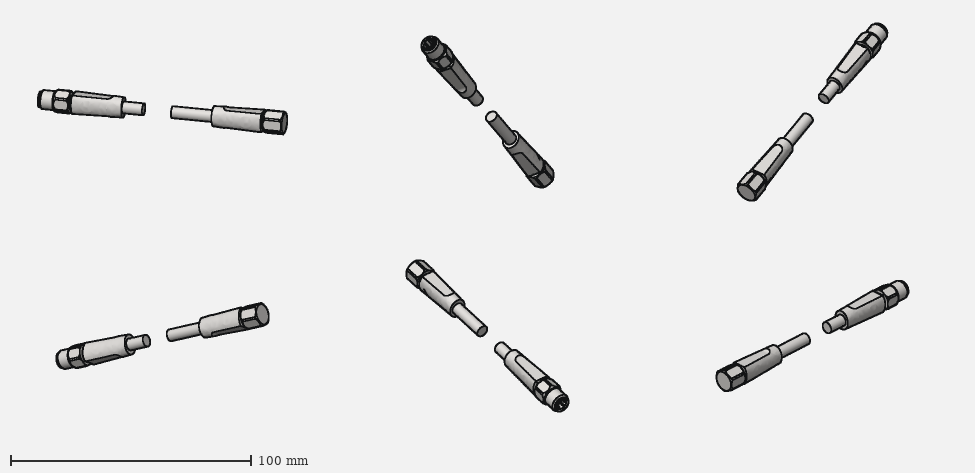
import cadquery as cq
import math

TOTAL_LENGTH = 106.0
MALE_CABLE_END = 44.9
FEMALE_CABLE_END = 57.5
CABLE_RADIUS = 2.5

HEX_ACROSS_FLATS = 9.0
HEX_CORNER_DIAMETER = 10.0
HEX_CORNER_RADIUS = HEX_CORNER_DIAMETER / 2
BEVEL_SLOPE = math.tan(math.radians(30))

MALE_NUT_START = 6.8
MALE_NUT_END = 13.4
MALE_NUT_FRONT_BEVEL = 1.2
MALE_NUT_REAR_BEVEL = 0.6

FEMALE_NUT_START = 97.8
FEMALE_NUT_REAR_BEVEL = 0.7
FEMALE_NUT_FRONT_BEVEL = 0.5
FEMALE_NUT_FRONT_RADIUS = 4.2

TIP_RADIUS = 3.4
TIP_LENGTH = 0.6
SLEEVE_RADIUS = 4.0
SLEEVE_BEVEL_END = 1.4
FLARE_START = 6.5
FLARE_RADIUS = 4.2
SOCKET_RADIUS = 2.6
SOCKET_DEPTH = 5.0
SOCKET_MOUTH_RADIUS = 3.2
KEY_WIDTH = 1.1
KEY_RECESS = 0.3
KEY_BOTTOM = 2.0
PIN_RADIUS = 0.3
PIN_RECESS = 0.5
PIN_CENTERS = [(-1.7, 0.6), (1.7, 0.6), (-1.2, -1.4), (1.2, -1.4)]

MALE_NECK_RADIUS = 2.9
FEMALE_NECK_RADIUS = 3.1

MALE_GRIP_START = 14.1
MALE_GRIP_END = 36.3
FEMALE_GRIP_START = 75.4
FEMALE_GRIP_END = 96.8
GRIP_CABLE_HALF_WIDTH = 3.7
GRIP_CABLE_HALF_HEIGHT = 4.3
GRIP_WIDTH_SLOPE = 0.031
GRIP_HEIGHT_SLOPE = 0.052
GRIP_CHAMFER_LENGTH = 0.6
GRIP_CHAMFER_DEPTH = 0.8
FLAT_START = 6.6
FLAT_START_HEIGHT = 3.8
FLAT_SLOPE = 0.017
RAMP_START = 4.5
RAMP_START_HEIGHT = GRIP_CABLE_HALF_HEIGHT + GRIP_HEIGHT_SLOPE * RAMP_START
RAMP_RADIUS = 3.2


def cylinder_x(radius, start, end):
    """Solid cylinder on the X axis."""
    return cq.Workplane("YZ").workplane(offset=start).circle(radius).extrude(end - start)


def revolve_x(profile):
    """Solid of revolution about X from (x, radius) points; the axis closes the outline."""
    points = [(profile[0][0], 0), *profile, (profile[-1][0], 0)]
    return cq.Workplane("XY").polyline(points).close().revolve(360, (0, 0, 0), (1, 0, 0))


def hex_nut(start, end, start_bevel, end_bevel, start_radius, end_radius):
    """Hexagonal bar with corners up and down, trimmed by a bevelled round envelope."""
    circumscribed = HEX_ACROSS_FLATS / math.cos(math.radians(30))
    hexagon = (
        cq.Workplane("YZ").workplane(offset=start)
        .transformed(rotate=(0, 0, 90))
        .polygon(6, circumscribed).extrude(end - start)
    )
    envelope = revolve_x([
        (start, start_radius),
        (start + start_bevel, HEX_CORNER_RADIUS),
        (end - end_bevel, HEX_CORNER_RADIUS),
        (end, end_radius),
    ])
    return hexagon.intersect(envelope)


def bevel_radius(length):
    """End radius of a 30 degree corner bevel of the given length."""
    return HEX_CORNER_RADIUS - length * BEVEL_SLOPE


def grip(length):
    """Grip with its cable end at X = 0, widening toward +X, with a flat above and below."""
    body = (
        cq.Workplane("YZ")
        .ellipse(GRIP_CABLE_HALF_WIDTH, GRIP_CABLE_HALF_HEIGHT)
        .workplane(offset=length)
        .ellipse(
            GRIP_CABLE_HALF_WIDTH + GRIP_WIDTH_SLOPE * length,
            GRIP_CABLE_HALF_HEIGHT + GRIP_HEIGHT_SLOPE * length,
        )
        .loft(ruled=True)
    )
    flat_end_height = FLAT_START_HEIGHT + FLAT_SLOPE * (length - FLAT_START)
    clear_height = GRIP_CABLE_HALF_HEIGHT + 2 * GRIP_HEIGHT_SLOPE * length
    clear_width = 2 * (GRIP_CABLE_HALF_WIDTH + GRIP_WIDTH_SLOPE * length)
    flat_cut = (
        cq.Workplane("XZ")
        .moveTo(RAMP_START, clear_height)
        .lineTo(RAMP_START, RAMP_START_HEIGHT)
        .radiusArc((FLAT_START, FLAT_START_HEIGHT), -RAMP_RADIUS)
        .lineTo(length, flat_end_height)
        .lineTo(length, clear_height)
        .close().extrude(clear_width, both=True)
    )
    return body.cut(flat_cut).cut(flat_cut.mirror("XY"))


def contact_socket():
    """Recess in the tip that leaves the key and the pins standing."""
    recess = revolve_x([
        (0, SOCKET_MOUTH_RADIUS),
        (TIP_LENGTH, SOCKET_RADIUS),
        (SOCKET_DEPTH, SOCKET_RADIUS),
    ])
    key = (
        cq.Workplane("XY")
        .box(SOCKET_DEPTH, KEY_WIDTH, SOCKET_MOUTH_RADIUS, centered=(False, True, False))
        .translate((KEY_RECESS, 0, KEY_BOTTOM))
    )
    pins = (
        cq.Workplane("YZ").workplane(offset=PIN_RECESS)
        .pushPoints(PIN_CENTERS).circle(PIN_RADIUS).extrude(SOCKET_DEPTH - PIN_RECESS)
    )
    return recess.cut(key).cut(pins)


def male_plug():
    sleeve = revolve_x([
        (0, TIP_RADIUS),
        (TIP_LENGTH, TIP_RADIUS),
        (SLEEVE_BEVEL_END, SLEEVE_RADIUS),
        (FLARE_START, SLEEVE_RADIUS),
        (MALE_NUT_START, FLARE_RADIUS),
    ])
    nut = hex_nut(
        MALE_NUT_START, MALE_NUT_END,
        MALE_NUT_FRONT_BEVEL, MALE_NUT_REAR_BEVEL,
        bevel_radius(MALE_NUT_FRONT_BEVEL), bevel_radius(MALE_NUT_REAR_BEVEL),
    )
    neck = cylinder_x(MALE_NECK_RADIUS, MALE_NUT_END, MALE_GRIP_START)
    handle = (
        grip(MALE_GRIP_END - MALE_GRIP_START)
        .faces(">X").chamfer(GRIP_CHAMFER_LENGTH, GRIP_CHAMFER_DEPTH)
        .rotate((0, 0, 0), (0, 0, 1), 180)
        .translate((MALE_GRIP_END, 0, 0))
    )
    cable = cylinder_x(CABLE_RADIUS, MALE_GRIP_END, MALE_CABLE_END)
    body = sleeve.union(nut).union(neck).union(handle).union(cable)
    return body.cut(contact_socket())


def female_socket():
    cable = cylinder_x(CABLE_RADIUS, FEMALE_CABLE_END, FEMALE_GRIP_START)
    handle = grip(FEMALE_GRIP_END - FEMALE_GRIP_START).translate((FEMALE_GRIP_START, 0, 0))
    neck = cylinder_x(FEMALE_NECK_RADIUS, FEMALE_GRIP_END, FEMALE_NUT_START)
    nut = hex_nut(
        FEMALE_NUT_START, TOTAL_LENGTH,
        FEMALE_NUT_REAR_BEVEL, FEMALE_NUT_FRONT_BEVEL,
        bevel_radius(FEMALE_NUT_REAR_BEVEL), FEMALE_NUT_FRONT_RADIUS,
    )
    return cable.union(handle).union(neck).union(nut)


result = cq.Compound.makeCompound([male_plug().val(), female_socket().val()])